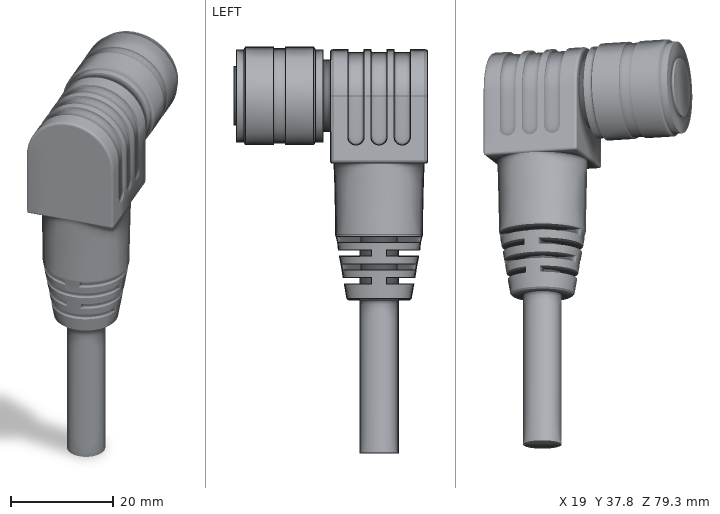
import cadquery as cq


total_height = 79.3
total_depth = 37.8
ring_diameter = 19.0

head_diameter = 18.0
head_depth = 18.95
head_bottom = -13.2
head_edge_round = 0.5
grip_floor_diameter = 17.0
grip_width = 3.2
grip_floor_round = 0.15
grip_pitch = 4.5
grip_bottom = -9.6

neck_diameter = 14.0
ring_groove_diameter = 18.5
face_diameter = 11.5
face_height = 0.5
ring_chamfer_length = 0.3
ring_chamfer_depth = (ring_diameter - head_diameter) / 2
collar_start = 10.95
rear_ring_start = 12.45
rear_ring_end = 18.2
front_ring_start = 20.6
front_ring_end = 26.4
face_end = total_depth - head_depth / 2
collar_end = face_end - face_height

cable_diameter = 7.5
cable_end = ring_diameter / 2 - total_height
boot_top_diameter = 17.6
boot_bend_diameter = 17.0
boot_end_diameter = 12.45
boot_bend = -27.1
boot_end = -39.9
boot_end_chamfer = 0.3
slot_height = 1.2
slot_pitch = 2.7
first_slot_top = -27.4
slot_count = 4
rib_width = 2.85


def cylinder_y(diameter, start, end):
    """Cylinder on the plug axis between two Y positions."""
    return cq.Workplane("XZ", origin=(0, start, 0)).circle(diameter / 2).extrude(start - end)


def arch_outline(diameter, bottom, start):
    """Round-topped outline with straight sides, on a plane facing -Y."""
    radius = diameter / 2
    return (
        cq.Workplane("XZ", origin=(0, start, 0))
        .moveTo(-radius, bottom)
        .lineTo(-radius, 0)
        .threePointArc((0, radius), (radius, 0))
        .lineTo(radius, bottom)
        .close()
    )


def grip_groove(y_center):
    """Groove over the top and down both sides of the head, with round lower ends."""
    straight_bottom = grip_bottom + grip_width / 2
    band_height = head_diameter - straight_bottom
    band = (
        cq.Workplane("XY")
        .box(2 * head_diameter, grip_width, band_height, centered=(True, True, False))
        .translate((0, y_center, straight_bottom))
    )
    round_end = (
        cq.Workplane("YZ")
        .center(y_center, straight_bottom)
        .circle(grip_width / 2)
        .extrude(head_diameter, both=True)
    )
    core = arch_outline(grip_floor_diameter, 2 * head_bottom, head_depth / 2).extrude(head_depth)
    reach = grip_floor_diameter / 2 + grip_floor_round
    floor_edges = cq.selectors.BoxSelector(
        (-reach, -head_depth, -head_diameter),
        (reach, head_depth, reach),
        boundingbox=True,
    )
    return band.union(round_end).cut(core).edges(floor_edges).fillet(grip_floor_round)


def angled_head():
    head = arch_outline(head_diameter, head_bottom, head_depth / 2).extrude(head_depth)
    head = head.faces("<Y or >Y or <Z").edges().fillet(head_edge_round)
    for index in (-1, 0, 1):
        head = head.cut(grip_groove(index * grip_pitch))
    return head


def plug():
    rear_ring = cylinder_y(ring_diameter, rear_ring_start, rear_ring_end)
    rear_ring = rear_ring.faces("<Y").chamfer(ring_chamfer_length, ring_chamfer_depth)
    front_ring = cylinder_y(ring_diameter, front_ring_start, front_ring_end)
    front_ring = front_ring.faces(">Y").chamfer(ring_chamfer_length, ring_chamfer_depth)
    return (
        cylinder_y(neck_diameter, 0, collar_start)
        .union(cylinder_y(head_diameter, collar_start, collar_end))
        .union(cylinder_y(ring_groove_diameter, rear_ring_end, front_ring_start))
        .union(rear_ring)
        .union(front_ring)
        .union(cylinder_y(face_diameter, collar_end, face_end))
    )


def boot_slot(index):
    """Ring-shaped slot bridged by two ribs; the ribs lie along Y, then X, in turn."""
    ribs_along_y = index % 2 == 0
    size_x, size_y = (rib_width, ring_diameter) if ribs_along_y else (ring_diameter, rib_width)
    bottom = first_slot_top - index * slot_pitch - slot_height
    slot_plane = cq.Workplane("XY", origin=(0, 0, bottom))
    slot = slot_plane.circle(ring_diameter / 2).circle(cable_diameter / 2).extrude(slot_height)
    return slot.cut(slot_plane.rect(size_x, size_y).extrude(slot_height))


def boot():
    body = (
        cq.Workplane("XZ")
        .moveTo(0, head_bottom)
        .lineTo(boot_top_diameter / 2, head_bottom)
        .lineTo(boot_bend_diameter / 2, boot_bend)
        .lineTo(boot_end_diameter / 2, boot_end)
        .lineTo(0, boot_end)
        .close()
        .revolve(360, (0, 0, 0), (0, 1, 0))
        .faces("<Z")
        .chamfer(boot_end_chamfer)
    )
    for index in range(slot_count):
        body = body.cut(boot_slot(index))
    return body


def cable():
    return cq.Workplane("XY").circle(cable_diameter / 2).extrude(cable_end)


result = angled_head().union(plug()).union(boot()).union(cable())